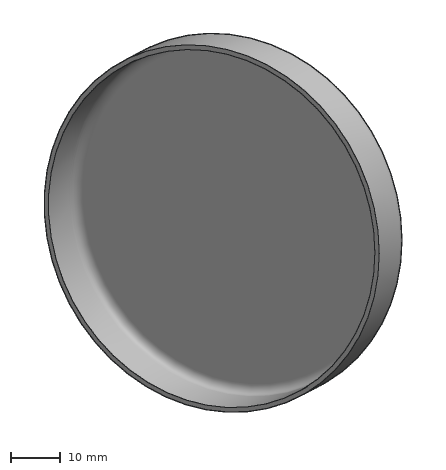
import cadquery as cq

outer_diameter = 76.0
depth = 12.0
wall = 1.0
outer_corner_radius = 3.0

inner_corner_radius = outer_corner_radius - wall


def rounded_disc(diameter, height, corner_radius):
    """Disc on the Y axis from Y = 0 to Y = height, rounded at its +Y rim."""
    disc = cq.Workplane("XZ").circle(diameter / 2).extrude(-height)
    return disc.faces(">Y").edges().fillet(corner_radius)


shell = rounded_disc(outer_diameter, depth, outer_corner_radius)
cavity = rounded_disc(outer_diameter - 2 * wall, depth - wall, inner_corner_radius)

result = shell.cut(cavity)